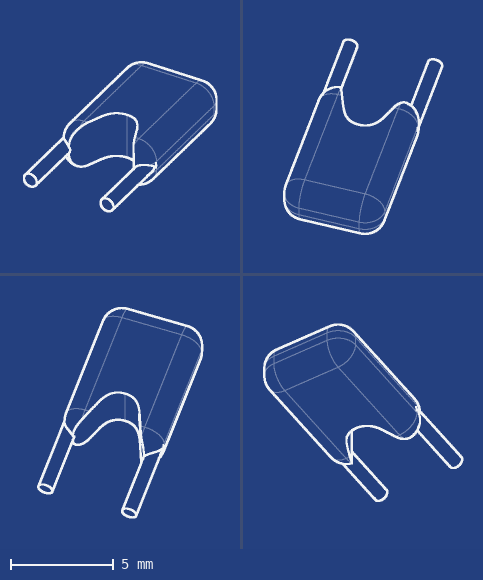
import cadquery as cq

TOTAL_LENGTH = 10.79
BODY_WIDTH = 5.08
BODY_LENGTH = 7.62
BODY_THICKNESS = 2.51
EDGE_RADIUS = 1.0

LEAD_DIAMETER = 0.73
LEAD_PITCH = 4.32

NOTCH_APEX_Y = 5.7
NOTCH_CROWN = (0.73, 5.38)
NOTCH_SHOULDER = (1.05, 4.86)
NOTCH_WAIST = (1.51, 3.71)
NOTCH_FOOT = (1.9, 3.11)
NOTCH_FOOT_FLARE = 0.65

BODY_FRONT_Y = TOTAL_LENGTH - BODY_LENGTH
LEAD_LENGTH = BODY_FRONT_Y + EDGE_RADIUS


def make_lead(x):
    """One straight lead, from its tip at Y = 0 into the body."""
    return (
        cq.Workplane("XZ", origin=(x, 0, 0))
        .circle(LEAD_DIAMETER / 2)
        .extrude(-LEAD_LENGTH)
    )


def make_notch():
    """Cutter through the thickness: two mirrored flanks meeting at a level apex."""
    apex = (0, NOTCH_APEX_Y)
    level = (1, 0)
    left_foot_slope = (NOTCH_FOOT_FLARE, 1)
    right_foot_slope = (NOTCH_FOOT_FLARE, -1)
    right_flank = [apex, NOTCH_CROWN, NOTCH_SHOULDER, NOTCH_WAIST, NOTCH_FOOT]
    left_flank = [(-x, y) for x, y in right_flank]
    foot_x = NOTCH_FOOT[0]
    return (
        cq.Workplane("XY", origin=(0, 0, -BODY_THICKNESS / 2))
        .moveTo(-foot_x, 0)
        .lineTo(*left_flank[-1])
        .spline(left_flank[-2::-1], tangents=[left_foot_slope, level], includeCurrent=True)
        .spline(right_flank[1:], tangents=[level, right_foot_slope], includeCurrent=True)
        .lineTo(foot_x, 0)
        .close()
        .extrude(BODY_THICKNESS)
    )


def make_body(leads):
    """Fully rounded block with the notch and a blind seat for each lead."""
    body = (
        cq.Workplane("XY", origin=(0, BODY_FRONT_Y + BODY_LENGTH / 2, 0))
        .box(BODY_WIDTH, BODY_LENGTH, BODY_THICKNESS)
        .edges()
        .fillet(EDGE_RADIUS)
        .cut(make_notch())
    )
    for lead in leads:
        body = body.cut(lead)
    return body


leads = [make_lead(side * LEAD_PITCH / 2) for side in (-1, 1)]
body = make_body(leads)

result = cq.Compound.makeCompound([body.val(), *[lead.val() for lead in leads]])